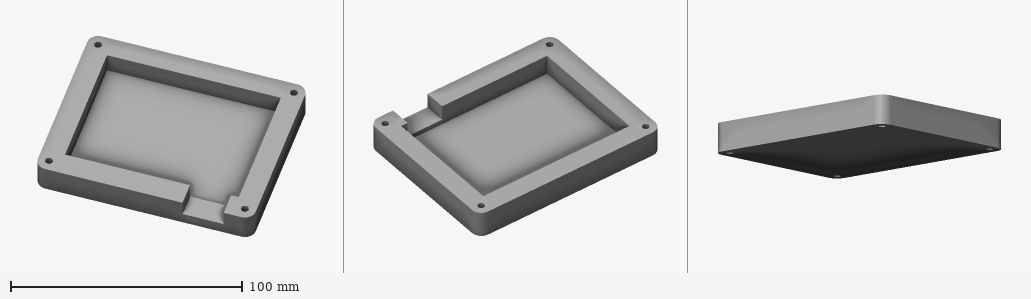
import cadquery as cq

length_x = 99.0
width_y = 79.3
height = 13.0
corner_radius = 5.0

pocket_x = 79.0
pocket_y = 59.3
pocket_center_x = 0.5
pocket_center_y = 0.5
pocket_floor_z = 3.0

notch_width = 18.7
notch_center_x = 27.15
notch_floor_z = 5.5

hole_diameter = 3.4
hole_spacing_x = length_x - 2 * corner_radius
hole_spacing_y = width_y - 2 * corner_radius


def make_body():
    body = cq.Workplane("XY").box(length_x, width_y, height, centered=(True, True, False))
    return body.edges("|Z").fillet(corner_radius)


def make_pocket():
    depth = height - pocket_floor_z
    pocket = cq.Workplane("XY").box(pocket_x, pocket_y, depth, centered=(True, True, False))
    return pocket.translate((pocket_center_x, pocket_center_y, pocket_floor_z))


def make_notch():
    front_y = -width_y / 2
    pocket_front_y = pocket_center_y - pocket_y / 2
    wall = pocket_front_y - front_y
    depth = height - notch_floor_z
    notch = cq.Workplane("XY").box(notch_width, wall, depth, centered=(True, False, False))
    return notch.translate((notch_center_x, front_y, notch_floor_z))


def make_holes():
    corners = cq.Workplane("XY").rect(hole_spacing_x, hole_spacing_y, forConstruction=True).vertices()
    return corners.circle(hole_diameter / 2).extrude(height)


result = make_body().cut(make_pocket()).cut(make_notch()).cut(make_holes())